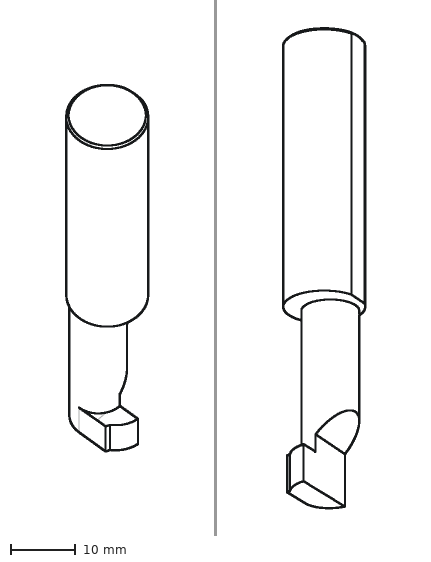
import cadquery as cq

total_length = 76.2
shank_diameter = 12.7
shank_depth = 12.4
shank_length = 44.4
end_chamfer = 0.4

neck_diameter = 9.0
back_cut_height = 9.3

head_height = 6.4
head_flat_end = 3.65
flank_start = (4.0, -3.8)
flank_middle = (5.25, -2.6)
top_slope_start = 1.9
top_slope_drop = 0.15
heel_rise = 0.45

shank_radius = shank_diameter / 2
neck_radius = neck_diameter / 2
neck_center = neck_radius - shank_radius
shank_bottom = total_length - shank_length


def make_shank():
    """Round shank with a chamfered top and a shallow flat along its +Y side."""
    shank = cq.Workplane("XY").workplane(offset=shank_bottom).circle(shank_radius).extrude(shank_length)
    shank = shank.faces(">Z").chamfer(end_chamfer)
    flat_y = shank_depth - shank_radius
    flat_cut = (
        cq.Workplane("XY", origin=(0, flat_y, shank_bottom))
        .rect(shank_diameter, shank_radius - flat_y, centered=(True, False))
        .extrude(shank_length)
    )
    return shank.cut(flat_cut)


def make_neck():
    """Offset neck, flush with the shank on the -X side, halved at its lower end."""
    neck = cq.Workplane("XY").center(neck_center, 0).circle(neck_radius).extrude(shank_bottom)
    back_cut = (
        cq.Workplane("YZ")
        .polyline([
            (0, 0),
            (shank_radius, 0),
            (shank_radius, back_cut_height + shank_radius),
            (0, back_cut_height),
        ])
        .close()
        .extrude(shank_radius, both=True)
    )
    return neck.cut(back_cut)


def make_head():
    """Cutting head reaching from the neck to the +X side, with a curved flank and a gently sloped top."""
    head = (
        cq.Workplane("XY")
        .moveTo(neck_center, 0)
        .lineTo(neck_center, -neck_radius)
        .lineTo(head_flat_end, -neck_radius)
        .lineTo(*flank_start)
        .threePointArc(flank_middle, (shank_radius, 0))
        .close()
        .extrude(head_height)
    )
    top_slope = (
        cq.Workplane("XZ")
        .polyline([
            (top_slope_start, head_height),
            (shank_radius, head_height),
            (shank_radius, head_height - top_slope_drop),
        ])
        .close()
        .extrude(shank_radius, both=True)
    )
    return head.cut(top_slope)


def make_end_relief():
    """Wedge under the end face, rising from the tip towards the -X side."""
    return (
        cq.Workplane("XZ")
        .polyline([(shank_radius, 0), (-shank_radius, heel_rise), (-shank_radius, 0)])
        .close()
        .extrude(shank_radius, both=True)
    )


result = make_shank().union(make_neck()).union(make_head()).cut(make_end_relief())